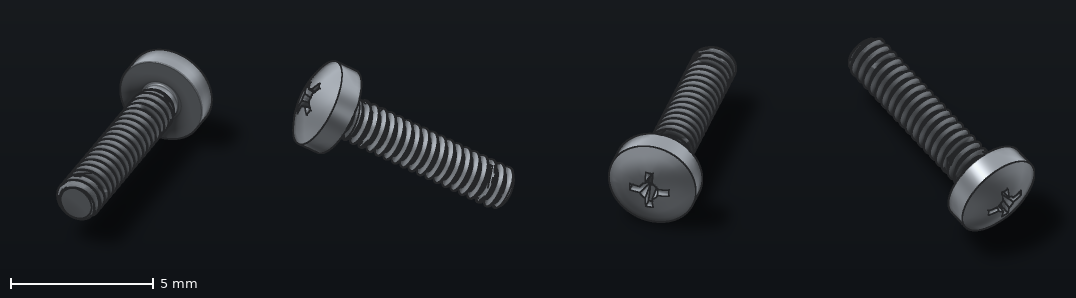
import cadquery as cq
import math


head_radius = 1.6
rim_height = 0.83
head_height = 1.3
head_edge_radius = 0.03

wing_width = 0.26
wing_reach = 0.72
recess_depth = 0.7
recess_floor_radius = 0.2
core_radius = 0.35

pitch = 0.35
major_radius = 0.8
screw_length = 7.0
flank_angle = math.radians(30)
sharp_height = pitch / (2 * math.tan(flank_angle))
root_radius = major_radius - 17 / 24 * sharp_height
crest_flat = pitch / 8

shank_radius = major_radius - 3 / 8 * sharp_height
shank_length = pitch
neck_fillet = 0.1
runout_length = pitch
thread_length = screw_length - shank_length

tip_radius = 0.63

clearance = 0.02
thread_overlap = 0.05
ridge_embed = 0.03

arc_mid_share = 1 - math.sqrt(0.5)


def make_head_and_shank():
    """Revolved domed head, filleted neck and plain shank."""
    rise = head_height - rim_height
    dome_radius = (head_radius**2 + rise**2) / (2 * rise)
    half_chord = head_radius / 2
    dome_mid_height = head_height - dome_radius + math.sqrt(dome_radius**2 - half_chord**2)
    fillet_mid = neck_fillet * arc_mid_share
    edge_mid = head_edge_radius * arc_mid_share
    profile = (
        cq.Workplane("XZ")
        .moveTo(0, -shank_length)
        .lineTo(shank_radius, -shank_length)
        .lineTo(shank_radius, -neck_fillet)
        .threePointArc((shank_radius + fillet_mid, -fillet_mid), (shank_radius + neck_fillet, 0))
        .lineTo(head_radius - head_edge_radius, 0)
        .threePointArc((head_radius - edge_mid, edge_mid), (head_radius, head_edge_radius))
        .lineTo(head_radius, rim_height)
        .threePointArc((half_chord, dome_mid_height), (0, head_height))
        .close()
    )
    return profile.revolve(360, (0, 0), (0, 1))


def make_cross_recess():
    """Cutter with two crossing tapered wings around a conical core."""
    floor = head_height - recess_depth
    wing = (
        cq.Workplane("XZ")
        .polyline([
            (-recess_floor_radius, floor),
            (recess_floor_radius, floor),
            (wing_reach, rim_height + clearance),
            (wing_reach, head_height + clearance),
            (-wing_reach, head_height + clearance),
            (-wing_reach, rim_height + clearance),
        ])
        .close()
        .extrude(wing_width / 2, both=True)
    )
    core = (
        cq.Workplane("XY", origin=(0, 0, floor))
        .circle(recess_floor_radius)
        .workplane(offset=recess_depth)
        .circle(core_radius)
        .loft()
    )
    crossing_wing = wing.rotate((0, 0, 0), (0, 0, 1), 90)
    return wing.union(crossing_wing).union(core)


def make_thread_ridge():
    """Right-handed helical ridge, rooted inside the core and passing both thread ends.

    The ridge crest crosses the +X side at the tip plane.
    """
    start = -screw_length - pitch
    overrun_past_shank = pitch / 2
    helix_height = pitch + thread_length + overrun_past_shank
    base_radius = root_radius - ridge_embed
    crest_half_width = crest_flat / 2
    base_half_width = crest_half_width + (major_radius - base_radius) * math.tan(flank_angle)
    profile = (
        cq.Workplane("XZ")
        .polyline([
            (base_radius, start - base_half_width),
            (major_radius, start - crest_half_width),
            (major_radius, start + crest_half_width),
            (base_radius, start + base_half_width),
        ])
        .close()
    )
    helix = cq.Wire.makeHelix(pitch, helix_height, root_radius, cq.Vector(0, 0, start))
    return profile.sweep(cq.Workplane(helix), isFrenet=True)


def make_thread_envelope():
    """Solid of revolution that trims the thread to its tip chamfer and runout."""
    outer_radius = major_radius + clearance
    runout_slope = (major_radius - shank_radius) / runout_length
    runout_start = -shank_length - (outer_radius - shank_radius) / runout_slope
    inner_radius = shank_radius - thread_overlap * runout_slope
    thread_top = -shank_length + thread_overlap
    return (
        cq.Workplane("XZ")
        .polyline([
            (0, -screw_length),
            (tip_radius, -screw_length),
            (outer_radius, -screw_length + outer_radius - tip_radius),
            (outer_radius, runout_start),
            (inner_radius, thread_top),
            (0, thread_top),
        ])
        .close()
        .revolve(360, (0, 0), (0, 1))
    )


def make_thread():
    """Trimmed ridge on its root-diameter core, reaching a little way into the shank."""
    core = (
        cq.Workplane("XY", origin=(0, 0, -screw_length))
        .circle(root_radius)
        .extrude(thread_length + thread_overlap)
    )
    ridge = make_thread_ridge().intersect(make_thread_envelope(), clean=False)
    return core.union(ridge, clean=False)


head_and_shank = make_head_and_shank().cut(make_cross_recess())
thread = make_thread()
screw = head_and_shank.union(thread)
result = screw.solids().rotate((0, 0, 0), (1, 0, 0), -90)